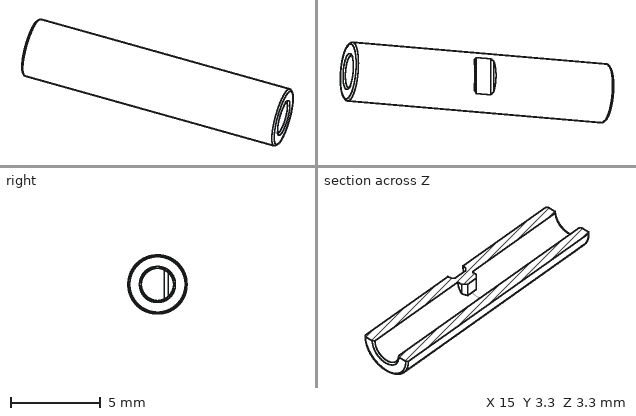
import cadquery as cq

length = 15.0
outer_diameter = 3.3
bore_diameter = 1.8
edge_chamfer = 0.1

hollow_mouth_width = 1.23
hollow_floor_width = 1.08
hollow_depth = 0.38
hollow_bevel = 0.12

stop_width = 1.2
stop_face_y = 0.38
stop_bevel = 0.24

outer_radius = outer_diameter / 2
bore_radius = bore_diameter / 2


def x_cylinder(diameter):
    """Full-length cylinder on the X axis."""
    return cq.Workplane("YZ").circle(diameter / 2).extrude(length / 2, both=True)


def cross_bar(bottom_width, top_width, y_low, y_high, bevel):
    """Trapezoidal bar along Z with its two -Y edges bevelled."""
    outline = [
        (-bottom_width / 2, y_low),
        (bottom_width / 2, y_low),
        (top_width / 2, y_high),
        (-top_width / 2, y_high),
    ]
    bar = cq.Workplane("XY").polyline(outline).close().extrude(outer_radius, both=True)
    return bar.faces("<Y").edges("|Z").chamfer(bevel)


tube = x_cylinder(outer_diameter).cut(x_cylinder(bore_diameter))
tube = tube.faces("<X or >X").edges().chamfer(edge_chamfer)

mid_wall_radius = (bore_radius + outer_radius) / 2
stop = cross_bar(stop_width, stop_width, stop_face_y, mid_wall_radius, stop_bevel)
stop = stop.intersect(x_cylinder(2 * mid_wall_radius))
tube = tube.union(stop)

hollow_floor_y = outer_radius - hollow_depth
hollow = cross_bar(hollow_floor_width, hollow_mouth_width, hollow_floor_y, outer_radius, hollow_bevel)
result = tube.cut(hollow)